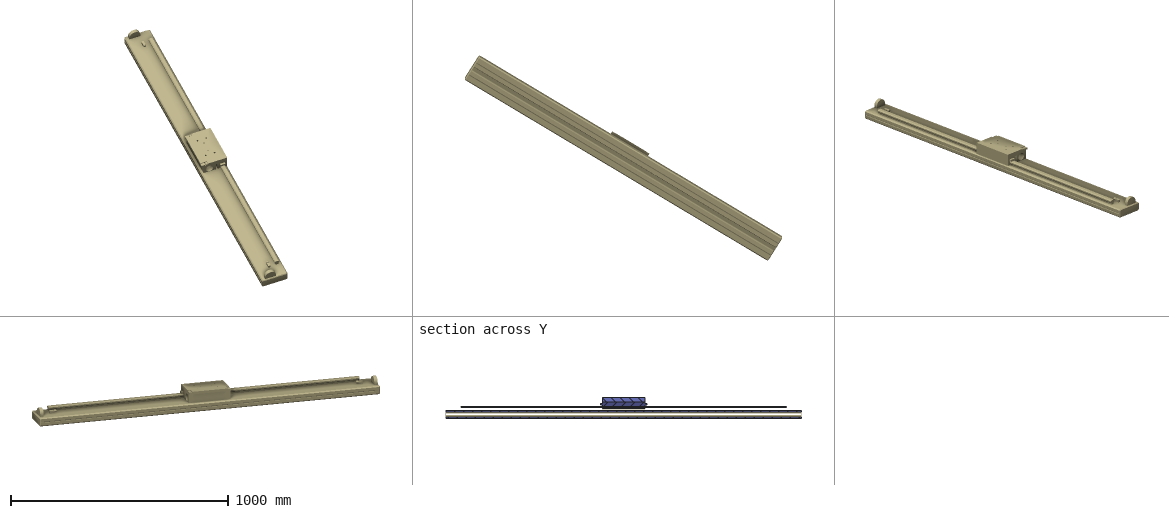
import cadquery as cq

base_length = 1640.0
base_width = 128.0
base_height = 41.0
long_edge_chamfer = 5.0
end_edge_chamfer = 3.0
end_wall = 4.1

side_mouth_height = 5.0
side_lip = 7.0
side_cavity_height = 20.0
side_groove_depth = 15.0

bottom_groove_depth = 13.0
centre_groove_mouth = 25.0
centre_groove_roof = 16.0
narrow_groove_width = 5.0
narrow_groove_offset = 33.0

bumper_outer_x = 755.0
bumper_block_length = 21.0
bumper_block_width = 11.0
bumper_block_height = 11.0
bumper_axis_height = 8.0
bumper_nose_diameter = 12.0
bumper_nose_length = 10.0

rail_length = 1499.0
rail_y = 40.0
rail_height = 21.0
rail_width = 23.0
rail_chamfer = 4.1
rail_waist_width = 15.0
rail_head_height = 10.0
rail_taper_height = 5.0

block_width = 30.0
block_top = 80.0
block_bottom = 48.0
block_end_length = 9.0
block_end_width = 25.0
block_end_top = 72.0

carriage_length = 200.0
carriage_clearance = 2.1
carriage_height = 55.0
carriage_bottom = base_height + carriage_clearance
carriage_top = carriage_bottom + carriage_height
flange_overhang = 10.0
flange_thickness = 12.3
slot_y = 12.3
slot_width = 8.0
slot_roof = 77.0
bore_y = -25.0
bore_axis_z = 62.0
bore_diameter = 36.0

outer_hole_diameter = 8.0
outer_hole_spacing_x = 98.0
outer_hole_spacing_y = 45.0
inner_hole_diameter = 5.0
inner_hole_spacing = 50.0
hole_depth = 15.0

corner_length = 15.0
corner_width = 31.0
corner_depth = 3.0
corner_groove_width = 3.0
corner_groove_depth = 5.0
corner_groove_y = -45.0

stop_outer_x = 813.0
stop_thickness = 16.0
stop_y = -20.0
stop_width = 54.0
stop_top = base_height + 36.0


def box(x_range, y_range, z_range):
    """Axis-aligned box between the given limits."""
    (x0, x1), (y0, y1), (z0, z1) = x_range, y_range, z_range
    return cq.Workplane("XY").box(x1 - x0, y1 - y0, z1 - z0, centered=False).translate((x0, y0, z0))


def along_x(outline, length):
    """Outline on the YZ plane extruded symmetrically about X = 0."""
    return outline.extrude(length / 2, both=True)


def make_base():
    base = (
        cq.Workplane("XY")
        .box(base_length, base_width, base_height, centered=(True, True, False))
        .edges("|X")
        .chamfer(long_edge_chamfer)
        .faces("<X or >X")
        .edges()
        .chamfer(end_edge_chamfer)
    )
    groove_x = base_length / 2 - end_wall
    groove_span = (-groove_x, groove_x)
    middle_z = base_height / 2

    side_y = base_width / 2
    mouth = box(
        groove_span,
        (side_y - side_groove_depth, side_y),
        (middle_z - side_mouth_height / 2, middle_z + side_mouth_height / 2),
    )
    cavity = box(
        groove_span,
        (side_y - side_groove_depth, side_y - side_lip),
        (middle_z - side_cavity_height / 2, middle_z + side_cavity_height / 2),
    )
    side_groove = mouth.union(cavity)
    base = base.cut(side_groove).cut(side_groove.mirror("XZ"))

    tapered = cq.Workplane("YZ").polyline([
        (-centre_groove_mouth / 2, 0),
        (centre_groove_mouth / 2, 0),
        (centre_groove_roof / 2, bottom_groove_depth),
        (-centre_groove_roof / 2, bottom_groove_depth),
    ]).close()
    base = base.cut(along_x(tapered, 2 * groove_x))
    for y in (-narrow_groove_offset, narrow_groove_offset):
        y_range = (y - narrow_groove_width / 2, y + narrow_groove_width / 2)
        base = base.cut(box(groove_span, y_range, (0, bottom_groove_depth)))

    bumper = make_bumper()
    return base.union(bumper).union(bumper.mirror("YZ"))


def make_bumper():
    block_inner_x = bumper_outer_x - bumper_block_length
    axis_z = base_height + bumper_axis_height
    block = box(
        (block_inner_x, bumper_outer_x),
        (-bumper_block_width / 2, bumper_block_width / 2),
        (base_height, base_height + bumper_block_height),
    )
    nose = (
        cq.Workplane("YZ", origin=(block_inner_x, 0, axis_z))
        .circle(bumper_nose_diameter / 2)
        .extrude(-bumper_nose_length)
    )
    return block.union(nose)


def make_rail():
    rail_top = base_height + rail_height
    head_bottom = rail_top - rail_head_height
    waist_top = head_bottom - rail_taper_height
    half_outline = [
        (rail_waist_width / 2, base_height),
        (rail_waist_width / 2, waist_top),
        (rail_width / 2, head_bottom),
        (rail_width / 2, rail_top - rail_chamfer),
        (rail_width / 2 - rail_chamfer, rail_top),
    ]
    other_half = [(-y, z) for y, z in reversed(half_outline)]
    outline = cq.Workplane("YZ").polyline(half_outline + other_half).close()
    return along_x(outline, rail_length).translate((0, rail_y, 0))


def make_guide_block(rail):
    """Block astride the rail, with a lower end piece over the rail at each end."""
    body_end_x = carriage_length / 2
    end_x = body_end_x + block_end_length
    body = box(
        (-body_end_x, body_end_x),
        (rail_y - block_width / 2, rail_y + block_width / 2),
        (block_bottom, block_top),
    )
    end_pieces = box(
        (-end_x, end_x),
        (rail_y - block_end_width / 2, rail_y + block_end_width / 2),
        (base_height + rail_height, block_end_top),
    )
    return body.union(end_pieces).cut(rail)


def make_carriage():
    end_x = carriage_length / 2
    side_y = base_width / 2
    x_span = (-end_x, end_x)
    carriage = box(x_span, (-side_y, side_y), (carriage_bottom, carriage_top))

    flange_bottom = carriage_top - flange_thickness
    setback = box(x_span, (-side_y, -side_y + flange_overhang), (carriage_bottom, flange_bottom))

    channel = box(
        x_span,
        (rail_y - block_width / 2, rail_y + block_width / 2),
        (carriage_bottom, block_top),
    )
    slot = box(
        x_span,
        (slot_y - slot_width / 2, slot_y + slot_width / 2),
        (carriage_bottom, slot_roof),
    )
    bore = along_x(
        cq.Workplane("YZ").center(bore_y, bore_axis_z).circle(bore_diameter / 2),
        carriage_length,
    )
    carriage = carriage.cut(setback).cut(channel).cut(slot).cut(bore)

    corner = make_corner_recess()
    carriage = carriage.cut(corner).cut(corner.mirror("YZ"))
    return drill_mounting_holes(carriage)


def make_corner_recess():
    """Shallow recess with a cross groove, at the front corner of the carriage top."""
    end_x = carriage_length / 2
    side_y = base_width / 2
    floor_z = carriage_top - corner_depth
    x_range = (end_x - corner_length, end_x)
    recess = box(x_range, (-side_y, -side_y + corner_width), (floor_z, carriage_top))
    groove = box(
        x_range,
        (corner_groove_y - corner_groove_width / 2, corner_groove_y + corner_groove_width / 2),
        (floor_z - corner_groove_depth, floor_z),
    )
    return recess.union(groove)


def drill_mounting_holes(carriage):
    top = cq.Workplane("XY", origin=(0, 0, carriage_top))
    outer_holes = (
        top.rect(outer_hole_spacing_x, outer_hole_spacing_y, forConstruction=True)
        .vertices()
        .circle(outer_hole_diameter / 2)
        .extrude(-hole_depth)
    )
    inner_holes = (
        top.pushPoints([(-inner_hole_spacing / 2, 0), (inner_hole_spacing / 2, 0)])
        .circle(inner_hole_diameter / 2)
        .extrude(-hole_depth)
    )
    return carriage.cut(outer_holes).cut(inner_holes)


def make_end_stop(outer_x, inner_x):
    """Upright plate with a semicircular top, between two X positions."""
    radius = stop_width / 2
    shoulder_z = stop_top - radius
    return (
        cq.Workplane("YZ", origin=(outer_x, 0, 0))
        .moveTo(stop_y - radius, base_height)
        .lineTo(stop_y + radius, base_height)
        .lineTo(stop_y + radius, shoulder_z)
        .threePointArc((stop_y, stop_top), (stop_y - radius, shoulder_z))
        .close()
        .extrude(inner_x - outer_x)
    )


base = make_base()
rail = make_rail()
guide_block = make_guide_block(rail)
carriage = make_carriage()

end_stops = []
for side in (-1, 1):
    end_stops.append(make_end_stop(side * stop_outer_x, side * (stop_outer_x - stop_thickness)))

result = cq.Compound.makeCompound([
    base.val(),
    rail.val(),
    guide_block.val(),
    carriage.val(),
    *[stop.val() for stop in end_stops],
])